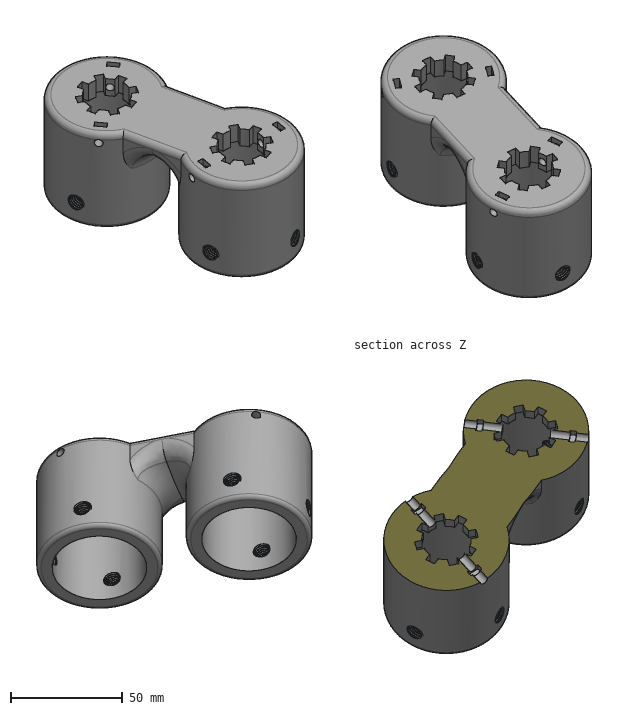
import cadquery as cq
import math

overall_length = 126.6
height = 55.0
cup_diameter = 56.6
cup_radius = cup_diameter / 2
cup_offset = (overall_length - cup_diameter) / 2
bore_diameter = 42.5
roof_thickness = 10.0
roof_underside = height - roof_thickness
top_round = 3.0
bottom_round = 2.0

bridge_width = 40.0
arch_radius = 11.8
arch_foot = roof_underside - arch_radius
arch_edge_round = 8.0
bridge_overlap_depth = 10.1

spline_bore_diameter = 22.0
spline_tip_diameter = 28.2
spline_slot_width = 4.3
spline_slot_count = 8

screw_diameter = 4.0
screw_depth_from_top = 5.0
screw_angles = (112.5, -67.5)
nut_pocket_radius = 21.1
nut_pocket_length = 5.8
nut_pocket_width = 2.8
nut_pocket_depth = 7.8

set_screw_minor = 7.2
set_screw_major = 8.2
set_screw_height = 11.8
thread_pitch = 1.3
thread_ridge_width = 1.1
thread_root_overlap = 0.1
thread_length = 10.1
thread_start_radius = 19.6


def cylinder(diameter, bottom, top):
    return cq.Workplane("XY").workplane(offset=bottom).circle(diameter / 2).extrude(top - bottom)


def cup_body():
    body = cylinder(cup_diameter, 0, height)
    return body.faces(">Z").edges().fillet(top_round).faces("<Z").edges().fillet(bottom_round)


def half_bridge():
    """Bridge from the cup axis (X = 0) to mid-span, hollowed by the arch flare."""
    bottom = arch_foot - bridge_overlap_depth
    block = (
        cq.Workplane("XY")
        .workplane(offset=bottom)
        .center(cup_offset / 2, 0)
        .rect(cup_offset, bridge_width)
        .extrude(height - bottom)
    )
    arch_outer = cup_radius + arch_radius
    beyond_block = cup_offset + bridge_width
    slant = arch_radius * math.sqrt(0.5)
    clearance = (
        cq.Workplane("XZ")
        .moveTo(cup_radius, bottom)
        .lineTo(cup_radius, arch_foot)
        .threePointArc((arch_outer - slant, arch_foot + slant), (arch_outer, roof_underside))
        .lineTo(beyond_block, roof_underside)
        .lineTo(beyond_block, bottom)
        .close()
        .revolve(360, (0, 0, 0), (0, 1, 0))
    )
    bridge = block.cut(clearance)
    side_rim = bridge.faces("<Y or >Y").edges("not(<X or >X or <Z or >Z)")
    rounded_block = block.edges("|X and >Z").fillet(top_round)
    return side_rim.fillet(arch_edge_round).intersect(rounded_block)


def spline_cutter():
    cutter = cylinder(spline_bore_diameter, 0, height)
    for i in range(spline_slot_count // 2):
        bar = cq.Workplane("XY").box(spline_tip_diameter, spline_slot_width, height, centered=(True, True, False))
        cutter = cutter.union(bar.rotate((0, 0, 0), (0, 0, 1), i * 360 / spline_slot_count))
    return cutter


def nut_and_screw_cutter(angle):
    """Radial screw hole along +X with a nut pocket open to the top, turned to the angle."""
    screw = (
        cq.Workplane("YZ")
        .center(0, height - screw_depth_from_top)
        .circle(screw_diameter / 2)
        .extrude(cup_radius)
    )
    pocket = (
        cq.Workplane("XY")
        .workplane(offset=height - nut_pocket_depth)
        .center(nut_pocket_radius, 0)
        .rect(nut_pocket_width, nut_pocket_length)
        .extrude(nut_pocket_depth)
    )
    return screw.union(pocket).rotate((0, 0, 0), (0, 0, 1), angle)


def set_screw_cutter():
    """Threaded plug along +X: a minor-diameter core with a helical ridge out to the major diameter."""
    root_radius = set_screw_minor / 2 - thread_root_overlap
    ridge_half = thread_ridge_width / 2
    path = cq.Wire.makeHelix(thread_pitch, thread_length, set_screw_minor / 2)
    ridge = (
        cq.Workplane("XZ")
        .moveTo(root_radius, -ridge_half)
        .lineTo(set_screw_major / 2, 0)
        .lineTo(root_radius, ridge_half)
        .close()
        .sweep(cq.Workplane(path), isFrenet=True)
    )
    plug = cylinder(set_screw_minor, 0, thread_length).union(ridge)
    return plug.rotate((0, 0, 0), (0, 1, 0), 90).translate((thread_start_radius, 0, set_screw_height))


half = cup_body().union(half_bridge())
half = half.cut(cylinder(bore_diameter, 0, roof_underside)).cut(spline_cutter())
for angle in screw_angles:
    half = half.cut(nut_and_screw_cutter(angle))

left_half = half.translate((-cup_offset, 0, 0))
result = left_half.union(left_half.mirror("YZ"))

set_screw = set_screw_cutter()
for cup_x, outer_angle in ((-cup_offset, 180), (cup_offset, 0)):
    for angle in (outer_angle, 90, 270):
        hole = set_screw.rotate((0, 0, 0), (0, 0, 1), angle)
        result = result.cut(hole.translate((cup_x, 0, 0)))